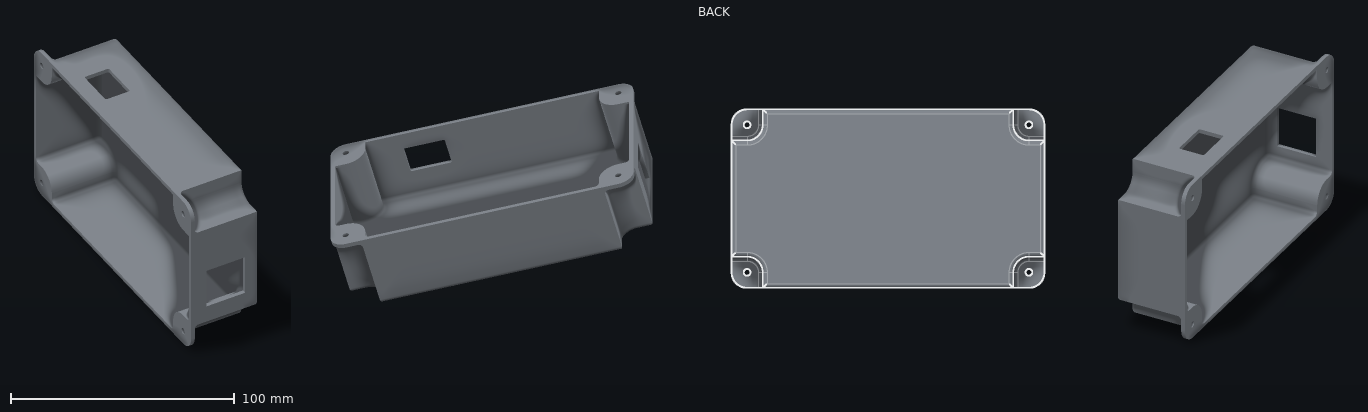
import cadquery as cq
length = 140.0
depth = 35.0
height = 80.0

wall = 2.0
edge_radius = 2.0
ear_radius = 7.0
screw_inset = 7.0
screw_diameter = 3.0
recess_radius = 7.0
recess = screw_inset + recess_radius
upper_ear_rim = 1.0

post_size = recess + wall
post_radius = recess_radius + wall

top_window_x = 31.6
top_window_y = 7.7
top_window_length = 19.0
top_window_depth = 12.6
top_window_radius = 0.7

side_window_y = 8.1
side_window_z = 22.5
side_window_depth = 19.9
side_window_height = 20.0

lower_level = (0,)
upper_level = (height,)


def box(x, y, z, size_x, size_y, size_z):
    """Box with its corner nearest the origin at (x, y, z)."""
    return cq.Workplane("XY").box(size_x, size_y, size_z, centered=False).translate((x, y, z))


def square_posts(size, corner_radius, y_front, y_back, levels):
    """Posts centred on the Y-running outer corners at the given Z levels, with rounded edges."""
    post = cq.Workplane("XY").box(2 * size, y_back - y_front, 2 * size).edges("|Y").fillet(corner_radius)
    y_middle = (y_front + y_back) / 2
    posts = cq.Workplane("XY")
    for x in (0, length):
        for z in levels:
            posts = posts.add(post.translate((x, y_middle, z)))
    return posts.combine()


def upper_round_posts(y_back):
    """Cylinders around the two upper screws, running from the open face to y_back."""
    return (
        cq.Workplane("XZ")
        .pushPoints([(x, height - screw_inset) for x in (screw_inset, length - screw_inset)])
        .circle(post_radius)
        .extrude(-y_back)
    )


def outer_body():
    """Box with a screw recess behind each ear, rounded at the ears and along the back rim."""
    body = box(0, 0, 0, length, depth, height).edges("|Y").fillet(ear_radius)
    posts = square_posts(recess, recess_radius, wall, depth, lower_level + upper_level)
    posts = posts.faces("<Y").edges().fillet(edge_radius)
    return body.cut(posts).faces(">Y").edges().fillet(edge_radius)


def is_beside_wall(edge):
    """True for an edge in a corner between a lower post and a side wall or the bottom wall."""
    middle = edge.Center()
    clearance = min(middle.x, length - middle.x, middle.z)
    return middle.z < height / 2 and clearance < wall + edge_radius / 2


def cavity():
    """Inside space: square posts below, round posts above, rounded where it meets the back wall."""
    floor_y = depth - wall
    space = box(wall, 0, wall, length - 2 * wall, floor_y, height - 2 * wall)
    space = space.cut(square_posts(post_size, post_radius, 0, floor_y, lower_level))
    for x in (0, length - screw_inset):
        space = space.cut(box(x, 0, height - screw_inset, screw_inset, floor_y, screw_inset))
    space = space.cut(upper_round_posts(floor_y))
    space = space.edges("|Y").filter(is_beside_wall).fillet(edge_radius)
    space = space.faces(">Y").edges().fillet(edge_radius)
    return space.cut(square_posts(post_size, post_radius, 0, upper_ear_rim, upper_level))


def windows():
    """Cutters for the openings in the top wall and in the +X side wall."""
    top = box(
        top_window_x, top_window_y, height - 2 * wall, top_window_length, top_window_depth, 3 * wall
    ).edges("|Z").fillet(top_window_radius)
    side = box(
        length - 2 * wall, side_window_y, side_window_z, 3 * wall, side_window_depth, side_window_height
    )
    return top.union(side)


def screw_holes():
    """Cutters for the hole through each mounting ear."""
    return (
        cq.Workplane("XZ", origin=(length / 2, 0, height / 2))
        .rect(length - 2 * screw_inset, height - 2 * screw_inset, forConstruction=True)
        .vertices()
        .circle(screw_diameter / 2)
        .extrude(-2 * wall)
    )


result = outer_body().cut(cavity()).cut(windows()).cut(screw_holes())